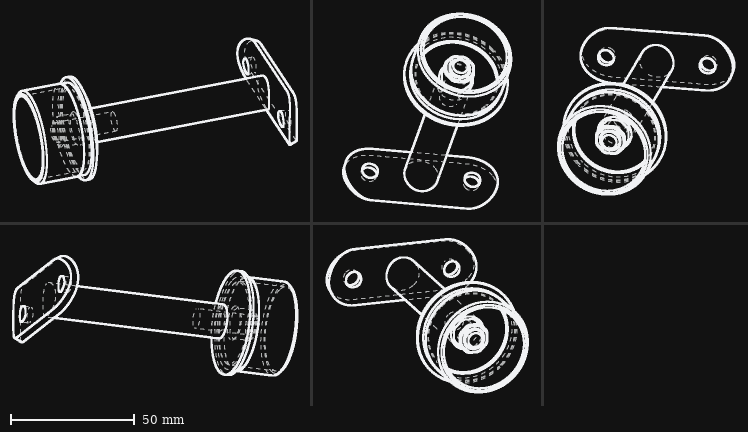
import cadquery as cq
import math


cup_diameter = 38.3
groove_diameter = 37.9
bore_diameter = 34.2
flange_diameter = 42.4
mouth_chamfer = 1.1
floor_chamfer = 0.5
floor_y = 20.5
groove_y = 17.0
flange_y = 20.2
flange_thickness = 1.5
dome_radius = 49.5

boss_foot_diameter = 14.0
boss_foot_height = 1.0
boss_corner_diameter = 12.5
boss_flat_width = 12.0
boss_bevel = 0.6
boss_sides = 8
boss_end_y = 12.2
countersink_diameter = 8.6

stem_diameter = 14.0

stud_diameter = 8.0
stud_tip_diameter = 6.0
stud_tip_y = 10.5
stud_insertion = 10.7

overall_length = 106.5
plate_length = 63.0
saddle_inner_radius = 21.2
plate_width = 24.0
plate_thickness = 3.2
hole_diameter = 6.5
hole_offset = 21.0
end_steps = 6

flange_back_y = flange_y + flange_thickness
flange_radius = flange_diameter / 2
stem_radius = stem_diameter / 2
dome_center_y = flange_back_y - math.sqrt(dome_radius**2 - flange_radius**2)
dome_end_y = dome_center_y + math.sqrt(dome_radius**2 - stem_radius**2)
boss_height = floor_y - boss_end_y
stud_end_y = dome_end_y + stud_insertion
stud_chamfer = (stud_diameter - stud_tip_diameter) / 2
countersink_depth = (countersink_diameter - stud_diameter) / 2
saddle_outer_radius = saddle_inner_radius + plate_thickness
saddle_angle = math.asin(plate_width / 2 / saddle_outer_radius)
saddle_axis_y = overall_length + saddle_inner_radius * math.cos(saddle_angle)


def y_plane(y):
    """Plane square to the Y axis at the given Y, with its normal along +Y."""
    return cq.Workplane(cq.Plane((0, y, 0), xDir=(1, 0, 0), normal=(0, 1, 0)))


def revolve_about_y(profile):
    """Turn a closed radius-height profile, drawn in XY, once around the Y axis."""
    return profile.close().revolve(360, (0, 0, 0), (0, 1, 0))


def boss():
    """Octagonal post on the cup floor, with flats facing X and Z and a conical foot."""
    end_plane = y_plane(boss_end_y)
    octagon_diameter = boss_flat_width / math.cos(math.pi / boss_sides)
    flats = (
        end_plane.transformed(rotate=(0, 0, 180 / boss_sides))
        .polygon(boss_sides, octagon_diameter)
        .extrude(boss_height)
    )
    rounded_corners = end_plane.circle(boss_corner_diameter / 2).extrude(boss_height)
    post = flats.intersect(rounded_corners).faces("<Y").chamfer(boss_bevel)
    foot = revolve_about_y(
        cq.Workplane("XY")
        .moveTo(0, floor_y - boss_foot_height)
        .lineTo(boss_flat_width / 2, floor_y - boss_foot_height)
        .lineTo(boss_foot_diameter / 2, floor_y)
        .lineTo(0, floor_y)
    )
    return post.union(foot)


def boss_countersink():
    """Cone that widens the mouth of the stud hole."""
    return revolve_about_y(
        cq.Workplane("XY")
        .moveTo(0, boss_end_y)
        .lineTo(countersink_diameter / 2, boss_end_y)
        .lineTo(stud_diameter / 2, boss_end_y + countersink_depth)
        .lineTo(0, boss_end_y + countersink_depth)
    )


def make_cup():
    outer = cup_diameter / 2
    groove = groove_diameter / 2
    bore = bore_diameter / 2
    profile = (
        cq.Workplane("XY")
        .moveTo(bore, 0)
        .lineTo(outer - mouth_chamfer, 0)
        .lineTo(outer, mouth_chamfer)
        .lineTo(outer, groove_y)
        .lineTo(groove, groove_y)
        .lineTo(groove, flange_y)
        .lineTo(flange_radius, flange_y)
        .lineTo(flange_radius, flange_back_y)
        .radiusArc((stem_radius, dome_end_y), -dome_radius)
        .lineTo(0, dome_end_y)
        .lineTo(0, floor_y)
        .lineTo(bore - floor_chamfer, floor_y)
        .lineTo(bore, floor_y - floor_chamfer)
    )
    stud_hole = y_plane(0).circle(stud_diameter / 2).extrude(overall_length)
    return revolve_about_y(profile).union(boss()).cut(stud_hole).cut(boss_countersink())


def make_stem():
    rod = y_plane(dome_end_y).circle(stem_radius).extrude(saddle_axis_y - dome_end_y)
    saddle = cq.Workplane("YZ").center(saddle_axis_y, 0).circle(saddle_outer_radius)
    socket = y_plane(dome_end_y).circle(stud_diameter / 2).extrude(stud_insertion)
    return rod.cut(saddle.extrude(stem_diameter, both=True)).cut(socket)


def make_stud():
    rod = y_plane(stud_tip_y).circle(stud_diameter / 2).extrude(stud_end_y - stud_tip_y)
    return rod.faces("<Y").chamfer(stud_chamfer)


def plate_outline(distance):
    """Oblong seen from the saddle axis and drawn on a plane at this distance from it.

    Every point of the edge keeps its X and its angle about the saddle axis at any distance.
    """
    half_straight = plate_length / 2 - plate_width / 2
    edge_z = distance * math.tan(saddle_angle)

    def end_point(turn):
        angle = math.asin(math.sin(saddle_angle) * math.sin(turn))
        return (half_straight + plate_width / 2 * math.cos(turn), distance * math.tan(angle))

    turns = [math.pi / 2 * step / end_steps for step in range(-end_steps, end_steps + 1)]
    right_end = [end_point(turn) for turn in turns]
    left_end = [(-x, -z) for x, z in right_end]
    return (
        y_plane(saddle_axis_y - distance)
        .moveTo(-half_straight, -edge_z)
        .lineTo(half_straight, -edge_z)
        .spline(right_end[1:], includeCurrent=True)
        .lineTo(-half_straight, edge_z)
        .spline(left_end[1:], includeCurrent=True)
        .close()
        .val()
    )


def make_plate():
    ring = (
        cq.Workplane("YZ")
        .center(saddle_axis_y, 0)
        .circle(saddle_outer_radius)
        .circle(saddle_inner_radius)
        .extrude(plate_length, both=True)
    )
    near_outline = plate_outline(saddle_outer_radius + plate_thickness)
    far_outline = plate_outline(saddle_inner_radius / 2)
    radial_block = cq.Workplane(cq.Solid.makeLoft([near_outline, far_outline], True))
    holes = y_plane(0).pushPoints([(-hole_offset, 0), (hole_offset, 0)])
    holes = holes.circle(hole_diameter / 2).extrude(saddle_axis_y)
    return ring.intersect(radial_block).cut(holes)


cup = make_cup().solids()
stem = make_stem().solids()
stud = make_stud().solids()
plate = make_plate().solids()

result = cq.Compound.makeCompound([cup.val(), stem.val(), stud.val(), plate.val()])